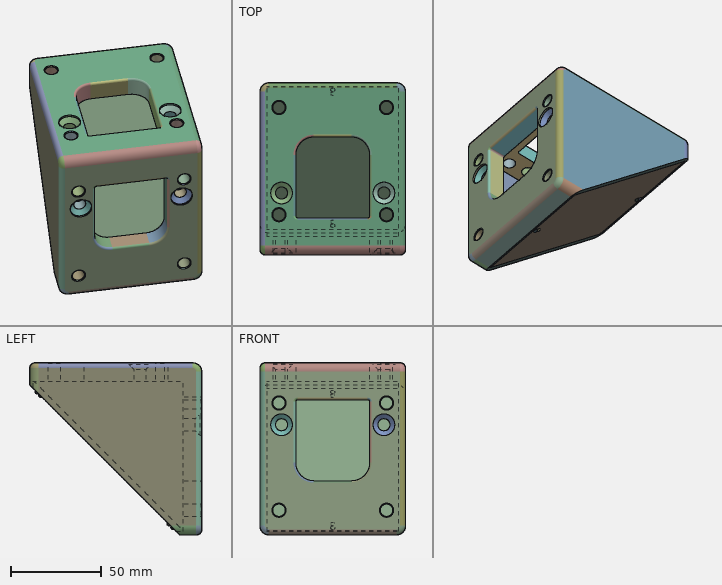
import cadquery as cq
import math

width = 80.4
leg = 95.0
end_height = 12.2
large_round = 5.0
small_round = 3.0

plate_thickness = 10.4
side_wall = 4.0
end_wall = 2.0
cover_thickness = 3.0

window_width = 40.8
window_near_row = 20.5
window_far_row = 65.1
window_near_radius = 0.95
window_far_radius = 10.0
window_round = 1.1

bolt_x = 29.6
bolt_rows = (22.2, 81.3)
bolt_diameter = 6.8
bolt_chamfer = 0.5

screw_x = 28.2
screw_row = 34.2
screw_diameter = 6.65
sink_diameter = 12.0
sink_lip = 1.0
sink_cone = (sink_diameter - screw_diameter) / 2

dome_rows = (88.9, 91.0)
dome_height = 0.95
dome_diameter = 2.5

outer_slope_sum = leg + end_height
inner_slope_sum = outer_slope_sum - cover_thickness * math.sqrt(2)
cavity_width = width - 2 * side_wall
cavity_reach = leg - end_wall
cut_margin = 0.95


def prism(outline, prism_width):
    """Solid with a (Y, Z) outline, centred on X = 0."""
    return cq.Workplane("YZ").polyline(outline).close().extrude(prism_width / 2, both=True)


def make_block():
    """Outer shape of the housing, still solid."""
    outline = [(0, 0), (leg, 0), (leg, -end_height), (end_height, -leg), (0, -leg)]
    block = prism(outline, width)
    block = block.faces(">Y").edges("|Z").fillet(large_round)
    block = block.faces("<Z").edges("|Y").fillet(large_round)
    block = block.edges(cq.NearestToPointSelector((0, 0, 0))).fillet(large_round)
    return block.faces(">Z or <Y").edges().fillet(small_round)


def make_cavity():
    """Room between the plates and side walls, open along the whole slope."""
    reach_depth = outer_slope_sum - cavity_reach
    outline = [
        (plate_thickness, -plate_thickness),
        (cavity_reach, -plate_thickness),
        (cavity_reach, -reach_depth),
        (reach_depth, -cavity_reach),
        (plate_thickness, -cavity_reach),
    ]
    return prism(outline, cavity_width)


def cut_window(housing, face):
    """Window through one plate, with a rounded rim."""
    half_width = window_width / 2
    near_turn = window_near_row + window_near_radius
    far_turn = window_far_row - window_far_radius
    near_x = half_width - window_near_radius
    far_x = half_width - window_far_radius
    opening = (
        cq.Workplane(face)
        .moveTo(-near_x, window_near_row)
        .lineTo(near_x, window_near_row)
        .radiusArc((half_width, near_turn), -window_near_radius)
        .lineTo(half_width, far_turn)
        .radiusArc((far_x, window_far_row), -window_far_radius)
        .lineTo(-far_x, window_far_row)
        .radiusArc((-half_width, far_turn), -window_far_radius)
        .lineTo(-half_width, near_turn)
        .radiusArc((-near_x, window_near_row), -window_near_radius)
        .close()
        .extrude(-plate_thickness - cut_margin)
    )
    housing = housing.cut(opening)
    rim_start = face.toWorldCoords((0, window_near_row, 0))
    rim_edge = cq.NearestToPointSelector(rim_start.toTuple())
    return housing.edges(rim_edge).fillet(window_round)


def cut_mouthed_holes(housing, face, points, hole_diameter, mouth_diameter, lip, cone_depth):
    """Holes through one plate, each widening through a cone to a straight lip at the face."""
    hole_radius = hole_diameter / 2
    mouth_radius = mouth_diameter / 2
    full_depth = plate_thickness + cut_margin
    profile = (
        cq.Workplane("XZ")
        .moveTo(0, cut_margin)
        .lineTo(mouth_radius, cut_margin)
        .lineTo(mouth_radius, -lip)
        .lineTo(hole_radius, -lip - cone_depth)
        .lineTo(hole_radius, -full_depth)
        .lineTo(0, -full_depth)
        .close()
    )
    cutter = profile.revolve(360, (0, 0, 0), (0, 1, 0)).val()
    for x, row in points:
        placed = cutter.moved(cq.Location(cq.Vector(x, row, 0)))
        housing = housing.cut(cq.Workplane(placed.moved(cq.Location(face))))
    return housing


def cut_bolt_holes(housing, face):
    """Four bolt holes through one plate, lightly chamfered at the face."""
    points = [(x, row) for x in (-bolt_x, bolt_x) for row in bolt_rows]
    mouth_diameter = bolt_diameter + 2 * bolt_chamfer
    return cut_mouthed_holes(housing, face, points, bolt_diameter, mouth_diameter, 0, bolt_chamfer)


def cut_screw_holes(housing, face):
    """Two countersunk screw holes through one plate, beside the window."""
    points = [(x, screw_row) for x in (-screw_x, screw_x)]
    return cut_mouthed_holes(housing, face, points, screw_diameter, sink_diameter, sink_lip, sink_cone)


def make_housing():
    """Corner bracket: two plates and two side walls around a hollow."""
    housing = make_block().cut(make_cavity())
    top_face = cq.Plane((0, 0, 0), xDir=(1, 0, 0), normal=(0, 0, 1))
    front_face = cq.Plane((0, 0, 0), xDir=(-1, 0, 0), normal=(0, -1, 0))
    for face in (top_face, front_face):
        housing = cut_window(housing, face)
        housing = cut_bolt_holes(housing, face)
        housing = cut_screw_holes(housing, face)
    return housing.solids()


def make_cover():
    """Plate that fills the slope opening flush, with domes near both ends."""
    outer_depth = outer_slope_sum - cavity_reach
    inner_reach = inner_slope_sum - plate_thickness
    outline = [
        (inner_reach, -plate_thickness),
        (cavity_reach, -plate_thickness),
        (cavity_reach, -outer_depth),
        (outer_depth, -cavity_reach),
        (plate_thickness, -cavity_reach),
        (plate_thickness, -inner_reach),
    ]
    cover = prism(outline, cavity_width)
    sphere_radius = (dome_diameter**2 / 4 + dome_height**2) / (2 * dome_height)
    center_inset = (sphere_radius - dome_height) / math.sqrt(2)
    for row in dome_rows:
        depth = outer_slope_sum - row
        for y, z in ((row, -depth), (depth, -row)):
            dome = cq.Workplane("XY", origin=(0, y - center_inset, z + center_inset)).sphere(sphere_radius)
            cover = cover.union(dome)
    return cover.solids()


housing = make_housing()
cover = make_cover()

result = cq.Compound.makeCompound([housing.val(), cover.val()])